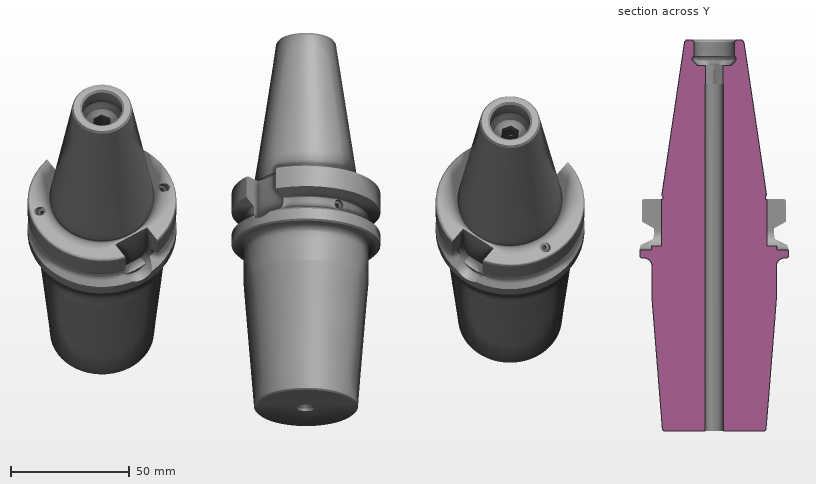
import cadquery as cq
import math


gauge_diameter = 44.45
gauge_radius = gauge_diameter / 2
taper_length = 65.4
taper_slope = 7 / 48
taper_top_radius = gauge_radius - taper_length * taper_slope
taper_top_chamfer_width = 0.7
taper_top_chamfer_height = 1.0
gauge_land = 0.3
neck_radius = 21.8
neck_fillet = 0.4

flange_radius = 31.5
flange_top = -2.0
flange_bottom = -27.0
flange_top_fillet = 1.0
flange_bottom_chamfer = 0.7
groove_centre = -16.6
groove_radius = 26.65
groove_mouth = 10.0
flank_angle = math.radians(30)
flank_height = (flange_radius - groove_radius) * math.tan(flank_angle)
groove_top = groove_centre + groove_mouth / 2
groove_bottom = groove_centre - groove_mouth / 2
groove_floor_top = groove_top - flank_height
groove_floor_bottom = groove_bottom + flank_height
groove_fillet = 0.3
fillet_tangent = groove_fillet * math.tan((math.pi / 2 - flank_angle) / 2)
fillet_on_flank = fillet_tangent * math.cos(flank_angle)
fillet_rise = fillet_tangent * math.sin(flank_angle)

nose_radius = 26.5
nose_fillet = 3.0
nose_cone_top = -43.0
nose_cone_angle = math.radians(4.5)
nose_end = -100.0
nose_end_radius = nose_radius + (nose_end - nose_cone_top) * math.tan(nose_cone_angle)
nose_end_chamfer = 0.6

entry_radius = 9.4
bore_radius = 8.5
bore_depth = 6.8
relief_radius = 9.2
relief_chamfer = relief_radius - bore_radius
relief_height = 2.4
floor_radius = 6.92
floor_chamfer = bore_radius - floor_radius
bore_bottom = taper_length - bore_depth
relief_bottom = bore_bottom - relief_height
bore_floor = relief_bottom - floor_chamfer
hexagon_flats = 7.2
hexagon_depth = 8.0
through_radius = 3.75

slot_width = 16.1
slot_face = 22.5
slot_round = slot_width / 2
slot_round_centre = -15.25
slot_step = groove_bottom

screw_circle_radius = 26.9
screw_angle = 70.0
screw_radius = 2.2
screw_overrun = 2.0
flange_screw_tilt = 30.0
screw_recess = 1.5
socket_flats = 2.0
socket_depth = 2.0


def make_body():
    outline = (
        cq.Workplane("XZ")
        .moveTo(0, taper_length)
        .lineTo(taper_top_radius - taper_top_chamfer_width, taper_length)
        .lineTo(taper_top_radius, taper_length - taper_top_chamfer_height)
        .lineTo(gauge_radius, 0)
        .lineTo(gauge_radius, -gauge_land)
        .lineTo(neck_radius, -gauge_land - (gauge_radius - neck_radius))
        .lineTo(neck_radius, flange_top + neck_fillet)
        .radiusArc((neck_radius + neck_fillet, flange_top), -neck_fillet)
        .lineTo(flange_radius - flange_top_fillet, flange_top)
        .radiusArc((flange_radius, flange_top - flange_top_fillet), flange_top_fillet)
        .lineTo(flange_radius, groove_top)
        .lineTo(groove_radius + fillet_on_flank, groove_floor_top + fillet_rise)
        .radiusArc((groove_radius, groove_floor_top - fillet_tangent), -groove_fillet)
        .lineTo(groove_radius, groove_floor_bottom + fillet_tangent)
        .radiusArc((groove_radius + fillet_on_flank, groove_floor_bottom - fillet_rise), -groove_fillet)
        .lineTo(flange_radius, groove_bottom)
        .lineTo(flange_radius, flange_bottom + flange_bottom_chamfer)
        .lineTo(flange_radius - flange_bottom_chamfer, flange_bottom)
        .lineTo(nose_radius + nose_fillet, flange_bottom)
        .radiusArc((nose_radius, flange_bottom - nose_fillet), -nose_fillet)
        .lineTo(nose_radius, nose_cone_top)
        .lineTo(nose_end_radius, nose_end + nose_end_chamfer)
        .lineTo(nose_end_radius - nose_end_chamfer, nose_end)
        .lineTo(0, nose_end)
        .close()
    )
    return outline.revolve(360, (0, 0, 0), (0, 1, 0))


def cylinder(radius, bottom, top):
    return cq.Workplane("XY").workplane(offset=bottom).circle(radius).extrude(top - bottom)


def make_bore():
    """Undercut bore in the taper end, a hexagon socket in its floor and a hole to the nose end."""
    entry_chamfer = entry_radius - bore_radius
    bore = (
        cq.Workplane("XZ")
        .moveTo(0, taper_length)
        .lineTo(entry_radius, taper_length)
        .lineTo(bore_radius, taper_length - entry_chamfer)
        .lineTo(bore_radius, bore_bottom)
        .lineTo(relief_radius, bore_bottom - relief_chamfer)
        .lineTo(relief_radius, relief_bottom + relief_chamfer)
        .lineTo(bore_radius, relief_bottom)
        .lineTo(floor_radius, bore_floor)
        .lineTo(0, bore_floor)
        .close()
        .revolve(360, (0, 0, 0), (0, 1, 0))
    )
    hexagon = (
        cq.Workplane("XY")
        .workplane(offset=bore_floor - hexagon_depth)
        .transformed(rotate=(0, 0, 30))
        .polygon(6, hexagon_flats / math.cos(math.pi / 6))
        .extrude(hexagon_depth)
    )
    return bore.union(hexagon).union(cylinder(through_radius, nose_end, bore_floor - hexagon_depth))


def make_drive_slot():
    """Round-ended slot on the +X side that stops at a flat step inside the groove radius."""
    slot = (
        cq.Workplane("YZ")
        .workplane(offset=slot_face)
        .moveTo(-slot_round, 0)
        .lineTo(-slot_round, slot_round_centre)
        .threePointArc((0, slot_round_centre - slot_round), (slot_round, slot_round_centre))
        .lineTo(slot_round, 0)
        .close()
        .extrude(flange_radius - slot_face)
    )
    core = cylinder(groove_radius, flange_bottom, slot_step)
    return slot.cut(core)


def make_screw_recess():
    """Recess over a set screw with its hexagon socket, sunk along -Z from the origin."""
    recess = cylinder(screw_radius, -screw_recess, screw_overrun)
    socket = (
        cq.Workplane("XY")
        .workplane(offset=-screw_recess - socket_depth)
        .polygon(6, socket_flats / math.cos(math.pi / 6))
        .extrude(socket_depth)
    )
    return recess.union(socket)


def make_flange_screw():
    tilted = make_screw_recess().rotate((0, 0, 0), (0, 1, 0), flange_screw_tilt)
    return tilted.translate((screw_circle_radius, 0, flange_top))


def make_groove_screw():
    along_x = make_screw_recess().rotate((0, 0, 0), (0, 1, 0), 90)
    return along_x.translate((groove_radius, 0, groove_centre))


def half_turn_pair(cutter, angle):
    pair = cutter.rotate((0, 0, 0), (0, 0, 1), angle)
    return pair.union(cutter.rotate((0, 0, 0), (0, 0, 1), angle + 180))


result = (
    make_body()
    .cut(make_bore())
    .cut(half_turn_pair(make_drive_slot(), 0))
    .cut(half_turn_pair(make_flange_screw(), screw_angle))
    .cut(half_turn_pair(make_groove_screw(), screw_angle))
)